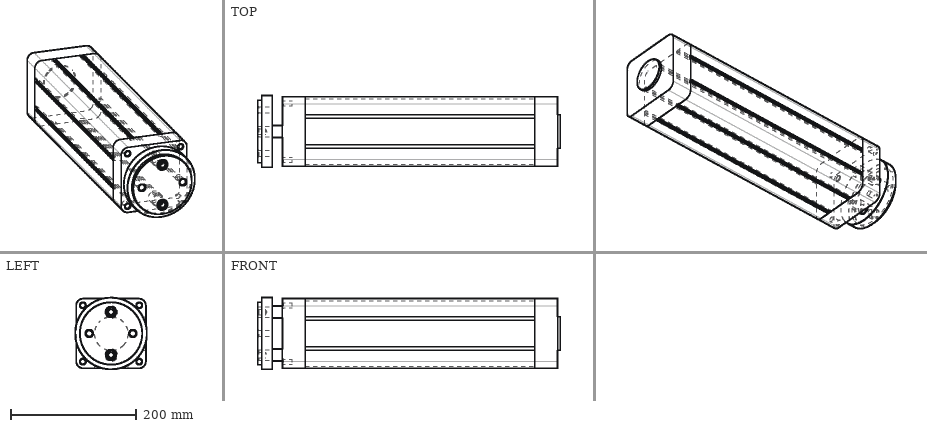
import cadquery as cq
TOTAL_LENGTH = 484.0
SPIGOT_LENGTH = 6.5
FLANGE_THICKNESS = 17.5
ROD_GAP = 16.0
CAP_LENGTH = 37.0
BOSS_LENGTH = 4.5

FLANGE_START = SPIGOT_LENGTH
FLANGE_END = FLANGE_START + FLANGE_THICKNESS
FRONT_CAP_START = FLANGE_END + ROD_GAP
PROFILE_START = FRONT_CAP_START + CAP_LENGTH
REAR_CAP_END = TOTAL_LENGTH - BOSS_LENGTH
REAR_CAP_START = REAR_CAP_END - CAP_LENGTH

BODY_WIDTH = 112.0
CORNER_RADIUS = 11.5

SLOT_WIDTH = 6.0
SLOT_DEPTH = 3.5
SLOT_OFFSET = 24.0

FLANGE_DIAMETER = 115.0
SPIGOT_DIAMETER = 100.0
SIDE_HOLE_OFFSET = 35.0
SIDE_HOLE_DIAMETER = 9.5
SIDE_HOLE_CHAMFER = 1.5

EDGE_CHAMFER = 0.5

ROD_OFFSET = 34.5
ROD_DIAMETER = 20.0
JOURNAL_DIAMETER = 17.5
JOURNAL_CHAMFER = 1.5
ROD_BORE_DIAMETER = 8.5
ROD_BORE_DEPTH = 12.0
DRILL_POINT_LENGTH = 2.5

CORNER_HOLE_DIAMETER = 8.0
CORNER_HOLE_CHAMFER = 1.0
CORNER_HOLE_DEPTH = 14.5
CORNER_HOLE_OFFSET = 45.0

BOSS_DIAMETER = 54.0

ROD_CENTERS = [(0, ROD_OFFSET), (0, -ROD_OFFSET)]
SIDE_HOLE_CENTERS = [(SIDE_HOLE_OFFSET, 0), (-SIDE_HOLE_OFFSET, 0)]


def plane_at(x):
    """Plane across the long axis: local x is +Y, local y is +Z, normal is +X."""
    return cq.Workplane("YZ", origin=(x, 0, 0))


def cylinder(start, length, diameter, centers=((0, 0),)):
    """Cylinders along X at the given (y, z) centers."""
    return plane_at(start).pushPoints(centers).circle(diameter / 2).extrude(length)


def rounded_block(start, end):
    """Square block along X with rounded long edges."""
    block = plane_at(start).rect(BODY_WIDTH, BODY_WIDTH).extrude(end - start)
    return block.edges("|X").fillet(CORNER_RADIUS)


def chamfered_hole(start, length, diameter, chamfer, centers):
    """Cutters for holes along +X with a chamfered mouth at the start."""
    holes = cylinder(start, length, diameter, centers)
    mouth = cq.Solid.makeCone(
        diameter / 2 + chamfer, diameter / 2, chamfer, cq.Vector(start, 0, 0), cq.Vector(1, 0, 0)
    )
    for y, z in centers:
        holes = holes.union(cq.Workplane(mouth.translate(cq.Vector(0, y, z))))
    return holes


def make_flange():
    """Round flange with a spigot on its front face and four through holes."""
    disc = cylinder(FLANGE_START, FLANGE_THICKNESS, FLANGE_DIAMETER)
    disc = disc.edges().chamfer(EDGE_CHAMFER)
    spigot = cylinder(0, SPIGOT_LENGTH, SPIGOT_DIAMETER).faces("<X").chamfer(EDGE_CHAMFER)
    flange = disc.union(spigot)
    flange = flange.cut(cylinder(0, FLANGE_END, JOURNAL_DIAMETER, ROD_CENTERS))
    side_holes = chamfered_hole(
        0, FLANGE_END, SIDE_HOLE_DIAMETER, SIDE_HOLE_CHAMFER, SIDE_HOLE_CENTERS
    )
    return flange.cut(side_holes)


def make_rod(center):
    """Rod with a journal filling the flange hole and a drilled bore in the journal end."""
    journal = cylinder(0, FLANGE_END, JOURNAL_DIAMETER, [center])
    journal = journal.faces("<X").chamfer(JOURNAL_CHAMFER)
    rod = journal.union(cylinder(FLANGE_END, ROD_GAP, ROD_DIAMETER, [center]))
    bore = cylinder(0, ROD_BORE_DEPTH, ROD_BORE_DIAMETER, [center])
    drill_point = cq.Solid.makeCone(
        ROD_BORE_DIAMETER / 2, 0, DRILL_POINT_LENGTH,
        cq.Vector(ROD_BORE_DEPTH, *center), cq.Vector(1, 0, 0),
    )
    return rod.cut(bore).cut(cq.Workplane(drill_point))


def make_front_cap():
    """Front cap with a blind screw hole in each corner."""
    cap = rounded_block(FRONT_CAP_START, PROFILE_START)
    corners = [(y, z) for y in (-CORNER_HOLE_OFFSET, CORNER_HOLE_OFFSET)
               for z in (-CORNER_HOLE_OFFSET, CORNER_HOLE_OFFSET)]
    return cap.cut(chamfered_hole(
        FRONT_CAP_START, CORNER_HOLE_DEPTH, CORNER_HOLE_DIAMETER, CORNER_HOLE_CHAMFER, corners
    ))


def make_profile():
    """Long profile with two slots along each of its four sides."""
    profile = rounded_block(PROFILE_START, REAR_CAP_START)
    slot_centers = [(-SLOT_OFFSET, BODY_WIDTH / 2), (SLOT_OFFSET, BODY_WIDTH / 2)]
    slots = (
        plane_at(PROFILE_START).pushPoints(slot_centers)
        .rect(SLOT_WIDTH, 2 * SLOT_DEPTH).extrude(REAR_CAP_START - PROFILE_START)
    )
    for angle in (0, 90, 180, 270):
        profile = profile.cut(slots.rotate((0, 0, 0), (1, 0, 0), angle))
    return profile


def make_rear_boss():
    """Round boss on the rear cap with a chamfered outer edge."""
    boss = cylinder(REAR_CAP_END, BOSS_LENGTH, BOSS_DIAMETER)
    return boss.faces(">X").chamfer(EDGE_CHAMFER)


flange = make_flange()
rods = [make_rod(center) for center in ROD_CENTERS]
front_cap = make_front_cap()
profile = make_profile()
rear_cap = rounded_block(REAR_CAP_START, REAR_CAP_END)
rear_boss = make_rear_boss()

result = cq.Compound.makeCompound([
    flange.val(),
    *[rod.val() for rod in rods],
    front_cap.val(),
    profile.val(),
    rear_cap.val(),
    rear_boss.val(),
])